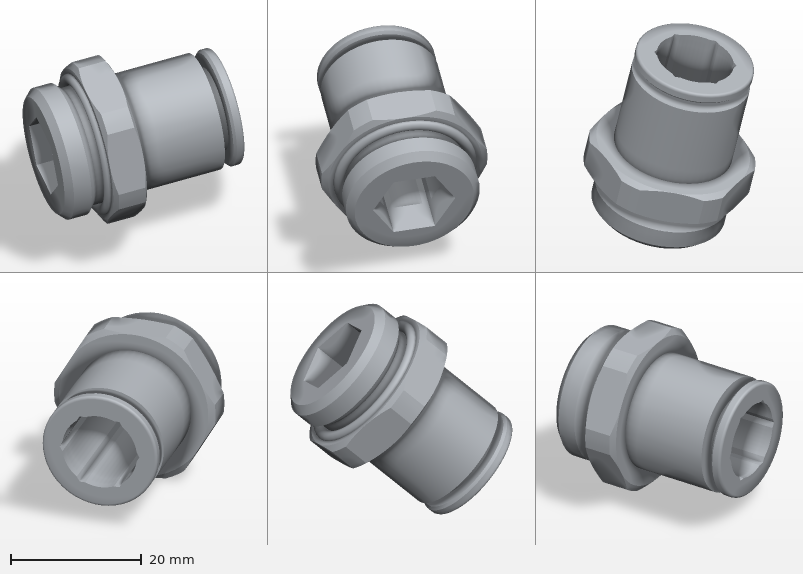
import cadquery as cq
import math

total_length = 29.5

thread_radius = 10.47
thread_chamfer = 1.15
neck_radius = 9.32
thread_end_y = 4.0
neck_start_y = thread_end_y + thread_radius - neck_radius

hex_across_flats = 24.0
hex_corner_diameter = 26.0
hex_start_y = 6.95
hex_end_y = 12.48
hex_bevel_angle = 30

seal_section_radius = 0.85
seal_outer_radius = 11.18

sleeve_radius = 9.25
sleeve_end_y = 26.2
stem_radius = 6.6
button_start_y = 27.73
button_chamfer = 0.4
button_fillet = 0.45

key_across_flats = 11.12
key_depth = 5.02
tube_bore_radius = 6.02


def cylinder(radius, start_y, end_y):
    """Cylinder about the Y axis between two positions."""
    return cq.Workplane("XZ", origin=(0, start_y, 0)).circle(radius).extrude(start_y - end_y)


def hex_prism(across_flats, start_y, end_y):
    """Hexagonal prism about the Y axis with corners on the X axis."""
    corner_diameter = across_flats / math.cos(math.radians(30))
    plane = cq.Workplane("XZ", origin=(0, start_y, 0))
    return plane.polygon(6, corner_diameter).extrude(start_y - end_y)


def make_threaded_end():
    profile = [
        (0, 0),
        (thread_radius - thread_chamfer, 0),
        (thread_radius, thread_chamfer),
        (thread_radius, thread_end_y),
        (neck_radius, neck_start_y),
        (neck_radius, hex_start_y),
        (0, hex_start_y),
    ]
    return cq.Workplane("XY").polyline(profile).close().revolve(360, (0, 0, 0), (0, 1, 0))


def make_collar():
    """Hexagon whose corners are rounded and beveled at both ends."""
    inner_radius = hex_across_flats / 2
    outer_radius = hex_corner_diameter / 2
    bevel_length = (outer_radius - inner_radius) * math.tan(math.radians(hex_bevel_angle))
    profile = [
        (0, hex_start_y),
        (inner_radius, hex_start_y),
        (outer_radius, hex_start_y + bevel_length),
        (outer_radius, hex_end_y - bevel_length),
        (inner_radius, hex_end_y),
        (0, hex_end_y),
    ]
    blank = cq.Workplane("XY").polyline(profile).close().revolve(360, (0, 0, 0), (0, 1, 0))
    return blank.intersect(hex_prism(hex_across_flats, hex_start_y, hex_end_y))


def make_seal():
    center_radius = seal_outer_radius - seal_section_radius
    section = cq.Workplane("XY").center(center_radius, hex_start_y).circle(seal_section_radius)
    return section.revolve(360, (-center_radius, 0, 0), (-center_radius, 1, 0))


def make_button():
    button = cylinder(sleeve_radius, button_start_y, total_length)
    return button.faces("<Y").chamfer(button_chamfer).faces(">Y").edges().fillet(button_fillet)


def make_bore():
    """Hexagonal key socket opening into the round tube bore."""
    socket = hex_prism(key_across_flats, 0, total_length)
    return socket.union(cylinder(tube_bore_radius, key_depth, total_length))


sleeve = cylinder(sleeve_radius, hex_end_y, sleeve_end_y)
stem = cylinder(stem_radius, sleeve_end_y, button_start_y)

body = make_threaded_end().union(make_collar()).union(make_seal())
body = body.union(sleeve).union(stem).union(make_button())
result = body.cut(make_bore())